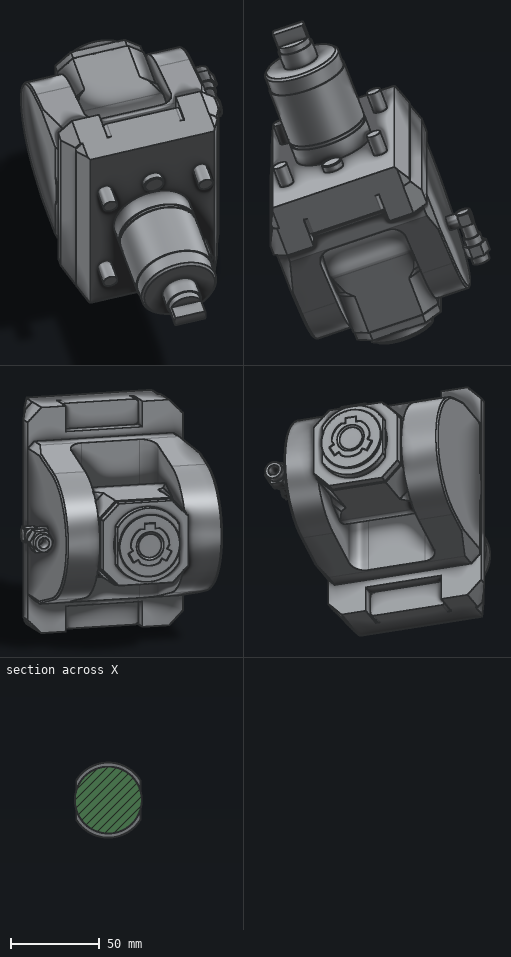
import cadquery as cq
import math


plate_half_height = 64.7
plate_corner = 8.0
plate_front_right = -46.5
plate_front_left = 45.0
plate_rear_half_width = 45.3
plate_split_x = 17.0
plate_back_x = 29.7
taper_slope = math.tan(math.radians(24.5))
taper_flat_half_width = 41.2
taper_flat_end_x = 18.9

recess_half_width = 22.5
recess_floor_z = 50.0
insert_face_x = 7.5
insert_corner_radius = 2.3

swivel_x = -36.0
fork_nose_radius = 37.5
fork_slope_angle = math.radians(15)
fork_half_height = 45.7
fork_right = -47.0
fork_left = 44.9
fork_right_corner = 6.4
fork_left_corner = 3.9
fork_rim_chamfer = 1.0
slot_half_width = 25.5
slot_floor_x = -11.5
slot_corner_radius = 8.5
relief_length = 3.9
relief_depth = 1.3
side_disc_radius = 34.7

head_half_height = 24.3
head_front_x = -73.8
head_corner = 9.2
runout_start_x = -50.5
runout_step = 3.9
runout_end_x = -34.3
runout_step_remaining = 5.2
cap_front_x = -79.0
cap_half_height = 23.5
cap_half_width = 25.0

neck_radius = 18.9
neck_front_x = -79.5
nut_radius = 21.2
nut_half_flats = 18.1
nut_front_x = -84.2
lip_radius = 17.7
lip_groove_radius = 17.3
lip_back_x = -85.7
lip_front_x = -86.7
ring_front_x = -87.3
ring_radius = 11.4
ring_notch_radius = 9.8
ring_notch_width = 2.5
ring_tab_radius = 13.1
ring_tab_width = 6.2
ring_tab_chamfer = 0.4
ring_tab_count = 3
bore_mouth_radius = 8.0
bore_radius = 6.7
bore_taper_depth = 0.5

sleeve_radius = 22.5
sleeve_end_radius = 22.0
sleeve_chamfer = 1.3
groove_start_x = 39.7
groove_end_x = 41.8
groove_depth = 0.5
sleeve_step_x = 74.4
sleeve_end_x = 84.2
shaft_radius = 10.0
shaft_end_x = 93.6
tip_radius = 9.2
tip_end_x = 97.5
tongue_end_x = 105.4
tongue_thickness = 6.5

pin_radius = 4.0
pin_y = 28.0
pin_z = 34.0
pin_end_x = 41.5
stud_radius = 5.8
stud_end_x = 33.7
stud_chamfer = 0.5

elbow_x = -35.6
pipe_radius = 4.0
elbow_y = 55.0
elbow_block_size = 7.0
pipe_end_x = -46.8
fitting_radius = 5.0
fitting_end_x = -62.8
fitting_bore_radius = 3.0
fitting_bore_depth = 11.5
hex_start_x = -51.5
hex_end_x = -58.2
hex_across_corners = 13.9


def box(x_range, y_range, z_range):
    """Box spanning the given coordinate ranges."""
    ranges = (x_range, y_range, z_range)
    sizes = [high - low for low, high in ranges]
    corner = tuple(low for low, high in ranges)
    return cq.Workplane("XY").box(*sizes, centered=False).translate(corner)


def rod(x_start, x_end, radius, y=0, z=0):
    """Cylinder along X between two X positions."""
    plane = cq.Workplane("YZ", origin=(x_start, y, z))
    return plane.circle(radius).extrude(x_end - x_start)


def plate_half(x_start, x_end, right, left):
    """Length of plate with its four corner edges chamfered."""
    height_range = (-plate_half_height, plate_half_height)
    block = box((x_start, x_end), (right, left), height_range)
    return block.edges("|X").chamfer(plate_corner)


def make_plate():
    front = plate_half(0, plate_split_x, plate_front_right, plate_front_left)
    rear = plate_half(plate_split_x, plate_back_x, -plate_rear_half_width, plate_rear_half_width)

    taper_start = taper_flat_half_width + plate_split_x * taper_slope
    back_half_width = taper_flat_half_width - (plate_back_x - taper_flat_end_x) * taper_slope
    left_side = [
        (0, taper_start),
        (plate_split_x, taper_flat_half_width),
        (taper_flat_end_x, taper_flat_half_width),
        (plate_back_x, back_half_width),
    ]
    right_side = [(x, -y) for x, y in reversed(left_side)]
    outline = cq.Workplane("XY").polyline(left_side + right_side).close()
    plate = front.union(rear).intersect(outline.extrude(plate_half_height, both=True))

    width_range = (-recess_half_width, recess_half_width)
    height_range = (recess_floor_z, plate_half_height)
    recess = box((0, plate_split_x), width_range, height_range)
    insert = box((insert_face_x, plate_split_x), width_range, height_range)
    recess = recess.cut(insert.edges("|X").fillet(insert_corner_radius))
    return plate.cut(recess).cut(recess.mirror("XY"))


def make_fork():
    tangent_x = swivel_x - fork_nose_radius * math.sin(fork_slope_angle)
    tangent_z = fork_nose_radius * math.cos(fork_slope_angle)
    flank_end_x = tangent_x + (fork_half_height - tangent_z) / math.tan(fork_slope_angle)
    outline = (
        cq.Workplane("XZ", origin=(0, fork_left, 0))
        .moveTo(0, -fork_half_height)
        .lineTo(flank_end_x, -fork_half_height)
        .lineTo(tangent_x, -tangent_z)
        .threePointArc((swivel_x - fork_nose_radius, 0), (tangent_x, tangent_z))
        .lineTo(flank_end_x, fork_half_height)
        .lineTo(0, fork_half_height)
        .close()
    )
    fork = outline.extrude(fork_left - fork_right)
    fork = fork.faces("<Y or >Y").edges("not(|Z)").edges("<X").chamfer(fork_rim_chamfer)

    nose_x = swivel_x - fork_nose_radius
    section = box((nose_x, 0), (fork_right, fork_left), (-fork_half_height, fork_half_height))
    section = section.edges("|X and <Y").chamfer(fork_right_corner)
    section = section.edges("|X and >Y").chamfer(fork_left_corner)
    fork = fork.intersect(section)

    relief = (
        cq.Workplane("XY")
        .polyline([(-relief_length, fork_right), (0, fork_right), (0, fork_right + relief_depth)])
        .close()
        .extrude(fork_half_height, both=True)
    )
    disc_plane = cq.Workplane("XZ", origin=(swivel_x, fork_right + relief_depth, 0))
    fork = fork.cut(relief.cut(disc_plane.circle(side_disc_radius).extrude(relief_depth)))

    slot = box(
        (nose_x, slot_floor_x),
        (-slot_half_width, slot_half_width),
        (-fork_half_height, fork_half_height),
    )
    return fork.cut(slot.edges("|Z and >X").fillet(slot_corner_radius))


def make_head():
    width_range = (-slot_half_width, slot_half_width)
    body = box((head_front_x, swivel_x), width_range, (-head_half_height, head_half_height))
    round_back = (
        cq.Workplane("XZ", origin=(swivel_x, slot_half_width, 0))
        .circle(head_half_height)
        .extrude(2 * slot_half_width)
    )
    body = body.union(round_back)

    edge_reach = (slot_half_width + head_half_height) / math.sqrt(2)
    chamfer_reach = edge_reach - head_corner / math.sqrt(2)
    step_reach = edge_reach - runout_step_remaining / math.sqrt(2)
    profile = [
        (head_front_x, edge_reach),
        (head_front_x, chamfer_reach),
        (runout_start_x, chamfer_reach),
        (runout_start_x + runout_step, step_reach),
        (runout_end_x, edge_reach),
    ]
    cutter = cq.Workplane("XZ").polyline(profile).close().extrude(head_corner, both=True)
    for side in range(4):
        body = body.cut(cutter.rotate((0, 0, 0), (1, 0, 0), 45 + 90 * side))

    cap = box(
        (cap_front_x, head_front_x),
        (-cap_half_width, cap_half_width),
        (-cap_half_height, cap_half_height),
    )
    return body.union(cap.edges("|X").chamfer(head_corner))


def make_nose():
    nut = rod(nut_front_x, neck_front_x, nut_radius)
    nut = nut.intersect(
        box(
            (nut_front_x, neck_front_x),
            (-nut_half_flats, nut_half_flats),
            (-nut_radius, nut_radius),
        )
    )
    nose = (
        nut.union(rod(neck_front_x, cap_front_x, neck_radius))
        .union(rod(lip_back_x, nut_front_x, lip_groove_radius))
        .union(rod(lip_front_x, lip_back_x, lip_radius))
    )

    ring = rod(ring_front_x, lip_front_x, ring_radius)
    x_range = (ring_front_x, lip_front_x)
    tab_half_width = ring_tab_width / 2
    notch_half_span = tab_half_width + ring_notch_width
    notch = box(x_range, (-notch_half_span, notch_half_span), (ring_notch_radius, ring_tab_radius))
    tab = box(x_range, (-tab_half_width, tab_half_width), (0, ring_tab_radius))
    tab = tab.edges("<X and >Z").chamfer(ring_tab_chamfer)
    for index in range(ring_tab_count):
        angle = 360 / ring_tab_count * index
        ring = ring.cut(notch.rotate((0, 0, 0), (1, 0, 0), angle))
        ring = ring.union(tab.rotate((0, 0, 0), (1, 0, 0), angle))
    nose = nose.union(ring)

    bore = (
        cq.Workplane("YZ", origin=(ring_front_x, 0, 0))
        .circle(bore_mouth_radius)
        .workplane(offset=bore_taper_depth)
        .circle(bore_radius)
        .loft()
    )
    return nose.cut(bore)


def make_shaft():
    sleeve_end = rod(sleeve_step_x, sleeve_end_x, sleeve_end_radius)
    sleeve_end = sleeve_end.faces(">X").edges().chamfer(sleeve_chamfer)
    tongue = rod(tip_end_x, tongue_end_x, tip_radius).intersect(
        box(
            (tip_end_x, tongue_end_x),
            (-tip_radius, tip_radius),
            (-tongue_thickness / 2, tongue_thickness / 2),
        )
    )
    return (
        rod(plate_back_x, groove_start_x, sleeve_radius)
        .union(rod(groove_start_x, groove_end_x, sleeve_radius - groove_depth))
        .union(rod(groove_end_x, sleeve_step_x, sleeve_radius))
        .union(sleeve_end)
        .union(rod(sleeve_end_x, shaft_end_x, shaft_radius))
        .union(rod(shaft_end_x, tip_end_x, tip_radius))
        .union(tongue)
    )


def make_coolant_elbow():
    block_half = elbow_block_size / 2
    outer_y = elbow_y + pipe_radius
    riser = (
        cq.Workplane("XZ", origin=(elbow_x, outer_y, 0))
        .circle(pipe_radius)
        .extrude(outer_y - fork_left)
    )
    block = box(
        (elbow_x - block_half, elbow_x + block_half),
        (elbow_y - block_half, elbow_y + block_half),
        (-pipe_radius, pipe_radius),
    )
    hex_nut = (
        cq.Workplane("YZ", origin=(hex_end_x, elbow_y, 0))
        .polygon(6, hex_across_corners)
        .extrude(hex_start_x - hex_end_x)
    )
    return (
        riser.union(block)
        .union(rod(pipe_end_x, elbow_x + pipe_radius, pipe_radius, y=elbow_y))
        .union(rod(fitting_end_x, pipe_end_x, fitting_radius, y=elbow_y))
        .union(hex_nut)
        .cut(rod(fitting_end_x, fitting_end_x + fitting_bore_depth, fitting_bore_radius, y=elbow_y))
    )


result = (
    make_plate()
    .union(make_fork())
    .union(make_head())
    .union(make_nose())
    .union(make_shaft())
    .union(make_coolant_elbow())
)

for z in (-pin_z, pin_z):
    stud = rod(plate_back_x, stud_end_x, stud_radius, z=z)
    result = result.union(stud.faces(">X").edges().chamfer(stud_chamfer))
    for y in (-pin_y, pin_y):
        result = result.union(rod(plate_back_x, pin_end_x, pin_radius, y=y, z=z))